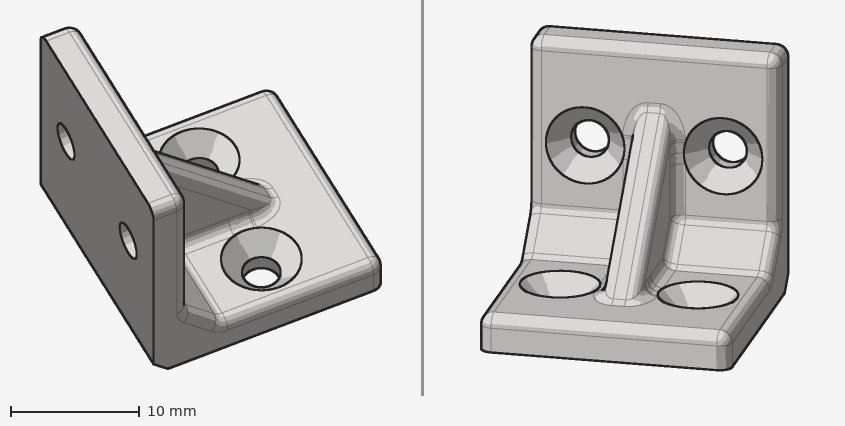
import cadquery as cq

size = 20.0
wall = 3.0
round_radius = 1.0
inner_bevel = 3.0
heel_chamfer = 1.25
rib_width = 3.0
rib_leg = 12.0
hole_diameter = 3.0
sink_diameter = 6.25
hole_spacing = 11.0
hole_offset = 11.5

center_x = size / 2
bevel_end = wall + inner_bevel
rib_end = wall + rib_leg
sink_depth = (sink_diameter - hole_diameter) / 2


def extrude_profile(points, width):
    """Extrude a YZ outline along X, centred on the bracket's middle plane."""
    plane = cq.Workplane("YZ", origin=(center_x - width / 2, 0, 0))
    return plane.polyline(points).close().extrude(width)


def make_angle():
    """L-shaped angle with a bevelled inner corner and rounded edges."""
    body = extrude_profile(
        [
            (heel_chamfer, 0),
            (size, 0),
            (size, wall),
            (bevel_end, wall),
            (wall, bevel_end),
            (wall, size),
            (0, size),
            (0, heel_chamfer),
        ],
        size,
    )
    body = body.faces(">Y").edges("|Z").fillet(round_radius)
    body = body.faces(">Z").edges("|Y").fillet(round_radius)
    for y, z in [(bevel_end, wall), (wall, bevel_end)]:
        bend = cq.selectors.NearestToPointSelector((center_x, y, z))
        body = body.edges("|X").edges(bend).fillet(round_radius)
    rim = cq.selectors.NearestToPointSelector((center_x, size, wall))
    return body.edges(rim).fillet(round_radius)


def make_rib():
    """Triangular gusset with a rounded sloping edge, buried in both leaves."""
    buried = wall / 2
    sloped_reach = rib_end + wall - buried
    rib = extrude_profile(
        [(buried, buried), (sloped_reach, buried), (buried, sloped_reach)], rib_width
    )
    return rib.faces(">(0, 1, 1)").edges("not |X").fillet(round_radius)


def blend_rib(body):
    """Fillet the rib's foot all round, where it meets the inner faces."""
    foot_start = cq.selectors.NearestToPointSelector((center_x, rib_end, wall))
    return body.edges(foot_start).fillet(round_radius)


def cut_holes(body):
    """Cut a pair of countersunk holes through each leaf from the inside."""
    for side in (-1, 1):
        x = center_x + side * hole_spacing / 2
        floor = cq.Plane((x, hole_offset, wall), (1, 0, 0), (0, 0, 1))
        upright = cq.Plane((x, wall, hole_offset), (1, 0, 0), (0, 1, 0))
        for plane in (floor, upright):
            hole = cq.Workplane(plane).circle(hole_diameter / 2).extrude(-wall)
            sink = (
                cq.Workplane(plane)
                .circle(sink_diameter / 2)
                .workplane(offset=-sink_depth)
                .circle(hole_diameter / 2)
                .loft(ruled=True)
            )
            body = body.cut(hole).cut(sink)
    return body


result = blend_rib(cut_holes(make_angle().union(make_rib())))